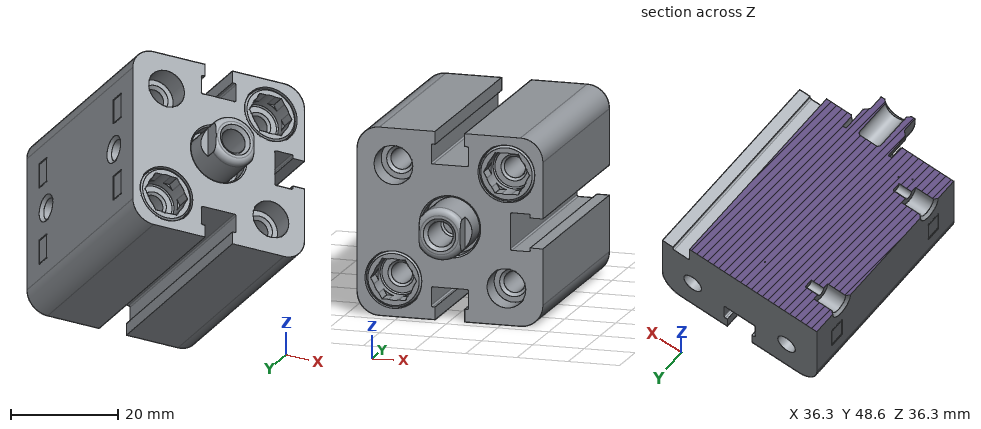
import cadquery as cq


overall_length = 48.6
body_width = 36.3
rod_projection = 6.55
body_length = overall_length - rod_projection
corner_radius = 4.35
half_width = body_width / 2
front_y = -body_length / 2
rod_tip_y = front_y - rod_projection

slot_opening = 5.8
slot_width = 7.25
slot_depth = 6.3
slot_lip = 2.5
slot_corner_radius = 0.3

hole_offset = 11.05
thread_diameter = 4.15
countersink_diameter = 5.4
counterbore_diameter = 7.55
counterbore_depth = 4.45

screw_pocket_diameter = 11.1
screw_head_diameter = 10.8
screw_face_diameter = 10.0
screw_gap_depth = 1.45
screw_head_inset = 0.1
screw_hex_corners = 9.0
screw_round_diameter = 8.0
screw_hex_depth = 3.1
screw_floor_diameter = 7.5
screw_floor_depth = 4.85
screw_countersink_diameter = 5.1

rod_diameter = 10.0
rod_tip_radius = 1.25
rod_flats = 8.0
rod_flat_length = 3.25
rod_mouth_diameter = 6.3
rod_bore_diameter = 4.9
rod_bore_depth = 8.75
rod_bore_bottom_diameter = 4.15
rod_recess_mouth_diameter = 12.0
rod_recess_diameter = 11.4
rod_recess_depth = 2.9

port_inset = 7.6
port_depth = 4.85
port_passage_diameter = 1.75
port_passage_depth = 7.8
label_inset = 6.25
label_offset = 8.0
label_width = 3.1
label_height = 4.95
label_depth = 0.2


def revolved(profile, x=0.0, z=0.0):
    """Turn (radius, depth behind the body front) points about an axis parallel to Y."""
    points = [(radius, front_y + depth) for radius, depth in profile]
    return cq.Workplane("XY").polyline(points).close().revolve(360, (0, 0), (0, 1)).translate((x, 0, z))


def lengthwise(sketch, start_depth, length):
    """Push a sketch drawn on XZ backward from a depth behind the body front."""
    return sketch.extrude(-length).translate((0, front_y + start_depth, 0))


def make_body():
    outline = cq.Workplane("XZ").rect(body_width, body_width)
    return lengthwise(outline, 0, body_length).edges("|Y").fillet(corner_radius)


def make_slot(angle):
    """T-slot of the +X side, turned about Y onto the wanted side."""
    floor_x = half_width - slot_depth
    chamber_depth = slot_depth - slot_lip
    chamber = cq.Workplane("XZ").center(floor_x + chamber_depth / 2, 0).rect(chamber_depth, slot_width)
    mouth = cq.Workplane("XZ").center(floor_x + slot_depth / 2, 0).rect(slot_depth, slot_opening)
    slot = lengthwise(chamber, 0, body_length).edges("|Y").fillet(slot_corner_radius)
    slot = slot.union(lengthwise(mouth, 0, body_length))
    return slot.rotate((0, 0, 0), (0, 1, 0), angle)


def make_counterbored_hole(x, z):
    thread_radius = thread_diameter / 2
    countersink_radius = countersink_diameter / 2
    bore_radius = counterbore_diameter / 2
    countersink_end = counterbore_depth + countersink_radius - thread_radius
    return revolved([
        (0, 0),
        (bore_radius, 0),
        (bore_radius, counterbore_depth),
        (countersink_radius, counterbore_depth),
        (thread_radius, countersink_end),
        (thread_radius, body_length),
        (0, body_length),
    ], x, z)


def make_screw_gap(x, z):
    """Clearance in front of and around a chamfered screw head."""
    pocket_radius = screw_pocket_diameter / 2
    head_radius = screw_head_diameter / 2
    face_radius = screw_face_diameter / 2
    return revolved([
        (0, 0),
        (pocket_radius, 0),
        (pocket_radius, screw_gap_depth),
        (head_radius, screw_gap_depth),
        (head_radius, screw_head_inset + head_radius - face_radius),
        (face_radius, screw_head_inset),
        (0, screw_head_inset),
    ], x, z)


def make_screw_socket(x, z):
    thread_radius = thread_diameter / 2
    countersink_radius = screw_countersink_diameter / 2
    round_radius = screw_round_diameter / 2
    floor_radius = screw_floor_diameter / 2
    round_end = screw_floor_depth - (round_radius - floor_radius)
    countersink_end = screw_floor_depth + countersink_radius - thread_radius
    hex_outline = cq.Workplane("XZ").center(x, z).polygon(6, screw_hex_corners)
    bore = revolved([
        (0, 0),
        (round_radius, 0),
        (round_radius, round_end),
        (floor_radius, screw_floor_depth),
        (countersink_radius, screw_floor_depth),
        (thread_radius, countersink_end),
        (thread_radius, body_length),
        (0, body_length),
    ], x, z)
    return lengthwise(hex_outline, 0, screw_hex_depth).union(bore)


def make_rod_recess():
    mouth_radius = rod_recess_mouth_diameter / 2
    recess_radius = rod_recess_diameter / 2
    return revolved([
        (0, 0),
        (mouth_radius, 0),
        (recess_radius, mouth_radius - recess_radius),
        (recess_radius, rod_recess_depth),
        (0, rod_recess_depth),
    ])


def make_rod():
    length = rod_projection + rod_recess_depth
    rod = lengthwise(cq.Workplane("XZ").circle(rod_diameter / 2), -rod_projection, length)
    rod = rod.faces("<Y").edges().fillet(rod_tip_radius)

    flat_x = rod_flats / 2
    flat_end_y = rod_tip_y + rod_flat_length
    run_out = rod_diameter / 2 - flat_x
    flat_cut = (
        cq.Workplane("XY")
        .moveTo(flat_x, rod_tip_y)
        .lineTo(flat_x, flat_end_y)
        .lineTo(flat_x + run_out, flat_end_y + run_out)
        .lineTo(flat_x + run_out, rod_tip_y)
        .close()
        .extrude(rod_diameter / 2, both=True)
    )
    return rod.cut(flat_cut).cut(flat_cut.mirror("YZ"))


def make_rod_bore():
    mouth_radius = rod_mouth_diameter / 2
    bore_radius = rod_bore_diameter / 2
    bottom_radius = rod_bore_bottom_diameter / 2
    tip = -rod_projection
    return revolved([
        (0, tip),
        (mouth_radius, tip),
        (bore_radius, tip + mouth_radius - bore_radius),
        (bore_radius, tip + rod_bore_depth),
        (bottom_radius, tip + rod_bore_depth + bore_radius - bottom_radius),
        (0, tip + rod_bore_depth + bore_radius - bottom_radius),
    ])


def make_port(y):
    port_radius = thread_diameter / 2
    countersink_radius = countersink_diameter / 2
    passage_radius = port_passage_diameter / 2
    profile = [
        (0, 0),
        (0, countersink_radius),
        (countersink_radius - port_radius, port_radius),
        (port_depth, port_radius),
        (port_depth, passage_radius),
        (port_passage_depth, passage_radius),
        (port_passage_depth, 0),
    ]
    port = cq.Workplane("XY").polyline(profile).close().revolve(360, (0, 0), (1, 0))
    return port.translate((-half_width, y, 0))


def make_label_pocket(y, z):
    return cq.Workplane("XY").box(2 * label_depth, label_width, label_height).translate((-half_width, y, z))


result = make_body()

for slot_angle in (0, 90, -90):
    result = result.cut(make_slot(slot_angle))

for side in (1, -1):
    result = result.cut(make_counterbored_hole(side * hole_offset, -side * hole_offset))
    result = result.cut(make_screw_gap(side * hole_offset, side * hole_offset))
    result = result.cut(make_screw_socket(side * hole_offset, side * hole_offset))

result = result.cut(make_rod_recess()).union(make_rod()).cut(make_rod_bore())

for end in (1, -1):
    result = result.cut(make_port(end * (body_length / 2 - port_inset)))
    for side in (1, -1):
        result = result.cut(make_label_pocket(end * (body_length / 2 - label_inset), side * label_offset))